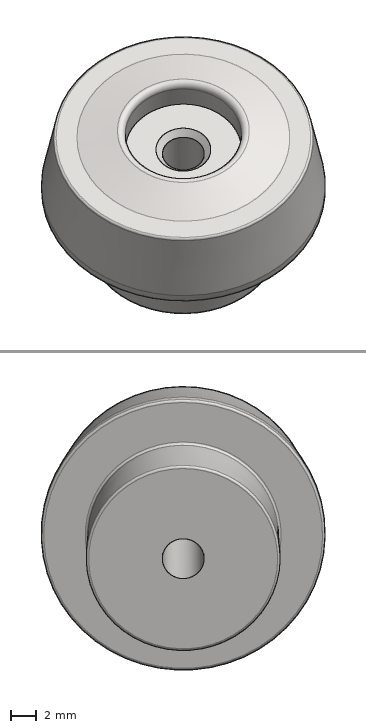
import cadquery as cq
import math

total_height = 13.49
body_top = 12.6
band_top = 6.78
flange_bottom = 5.98
recess_floor = 11.1

body_radius = 11.0
body_top_radius = 10.03
crown_base_radius = 8.25
neck_top_radius = 7.4
neck_bottom_radius = 7.52
recess_radius = 9.0 / 2
hole_radius = 3.23 / 2

edge_round = 0.2
countersink_size = 0.5
rim_round = 0.48
crown_angle = math.radians(15)

rim_center_radius = recess_radius + rim_round
rim_center_height = total_height - rim_round


def rim_point(angle):
    """Point on the rim arc at an angle measured from the outward radial direction."""
    return (
        rim_center_radius + rim_round * math.cos(angle),
        rim_center_height + rim_round * math.sin(angle),
    )


def make_profile():
    """Half section in radius and height, before the outer edges are rounded."""
    return (
        cq.Workplane("XZ")
        .moveTo(hole_radius, 0)
        .lineTo(neck_bottom_radius, 0)
        .lineTo(neck_top_radius, flange_bottom)
        .lineTo(body_radius, flange_bottom)
        .lineTo(body_radius, band_top)
        .lineTo(body_top_radius, body_top)
        .lineTo(crown_base_radius, body_top)
        .lineTo(*rim_point(math.pi / 2 - crown_angle))
        .threePointArc(rim_point(math.radians(125)), rim_point(math.pi))
        .lineTo(recess_radius, recess_floor)
        .lineTo(hole_radius + countersink_size, recess_floor)
        .lineTo(hole_radius, recess_floor - countersink_size)
        .close()
    )


def edge_at(radius, height):
    """Selector for the circular edge with the given radius and height."""
    margin = 0.02
    reach = radius + margin
    outer = cq.selectors.BoxSelector(
        (-reach, -reach, height - margin), (reach, reach, height + margin), boundingbox=True
    )
    inner_reach = radius - margin
    inner = cq.selectors.BoxSelector(
        (-inner_reach, -inner_reach, height - margin),
        (inner_reach, inner_reach, height + margin),
        boundingbox=True,
    )
    return outer - inner


result = make_profile().revolve(360, (0, 0, 0), (0, 1, 0))

for radius, height in (
    (neck_bottom_radius, 0),
    (neck_top_radius, flange_bottom),
    (body_radius, flange_bottom),
    (body_top_radius, body_top),
):
    result = result.edges(edge_at(radius, height)).fillet(edge_round)